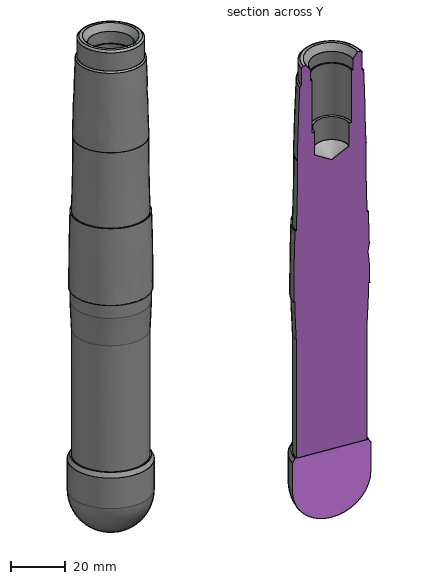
import cadquery as cq

total_height = 202.4

cap_radius = 32.0 / 2
cap_top = 30.4
cap_bevel_height = 1.8
cap_rim_radius = 30.0 / 2

shaft_radius = 29.0 / 2
shaft_top = 82.2
band_radius = 30.0 / 2
band_bottom = 93.7
grip_bottom = 99.2
grip_bottom_radius = 31.0 / 2
grip_middle_radius = 30.8 / 2
grip_top = 130.5
grip_top_radius = 30.0 / 2
waist_bottom_radius = 29.0 / 2
waist_middle_radius = 28.1 / 2
waist_top = 161.3
waist_top_radius = 28.0 / 2
taper_bottom_radius = 28.1 / 2
taper_middle_radius = 27.3 / 2
taper_top_radius = 26.1 / 2
collar_bottom = 194.0
collar_radius = 24.9 / 2
collar_bevel = 0.8
shoulder_height = 0.6
shoulder_bottom = collar_bottom - shoulder_height

mouth_radius = 20.8 / 2
mouth_depth = 2.6
socket_radius = 17.0 / 2
socket_depth = 7.5
bore_radius = 16.0 / 2
bore_depth = 30.4
pilot_radius = 14.0 / 2
pilot_depth = 40.5
pilot_point_depth = 4.0


def make_cap():
    """Solid cap with a hemispherical end and a beveled rim."""
    arc_offset = cap_radius * 0.5 ** 0.5
    return (
        cq.Workplane("XZ")
        .moveTo(0, 0)
        .threePointArc((arc_offset, cap_radius - arc_offset), (cap_radius, cap_radius))
        .lineTo(cap_radius, cap_top - cap_bevel_height)
        .lineTo(cap_rim_radius, cap_top)
        .lineTo(0, cap_top)
        .close()
        .revolve(360, (0, 0), (0, 1))
    )


def make_handle_blank():
    """Turned handle: straight shaft, band, and three gently bowed grip sections."""
    grip_middle = (grip_bottom + grip_top) / 2
    waist_middle = (grip_top + waist_top) / 2
    taper_middle = (waist_top + shoulder_bottom) / 2
    return (
        cq.Workplane("XZ")
        .moveTo(0, cap_top)
        .lineTo(shaft_radius, cap_top)
        .lineTo(shaft_radius, shaft_top)
        .lineTo(band_radius, band_bottom)
        .lineTo(band_radius, grip_bottom)
        .lineTo(grip_bottom_radius, grip_bottom)
        .threePointArc((grip_middle_radius, grip_middle), (grip_top_radius, grip_top))
        .lineTo(waist_bottom_radius, grip_top)
        .threePointArc((waist_middle_radius, waist_middle), (waist_top_radius, waist_top))
        .lineTo(taper_bottom_radius, waist_top)
        .threePointArc((taper_middle_radius, taper_middle), (taper_top_radius, shoulder_bottom))
        .lineTo(collar_radius, collar_bottom)
        .lineTo(collar_radius, total_height - collar_bevel)
        .lineTo(collar_radius - collar_bevel, total_height)
        .lineTo(0, total_height)
        .close()
        .revolve(360, (0, 0), (0, 1))
    )


def make_socket():
    """Volume of the socket: conical mouth, wide step, bore, and pilot hole with a drill point."""
    return (
        cq.Workplane("XZ")
        .moveTo(0, total_height)
        .lineTo(mouth_radius, total_height)
        .lineTo(socket_radius, total_height - mouth_depth)
        .lineTo(socket_radius, total_height - socket_depth)
        .lineTo(bore_radius, total_height - socket_depth)
        .lineTo(bore_radius, total_height - bore_depth)
        .lineTo(pilot_radius, total_height - bore_depth)
        .lineTo(pilot_radius, total_height - pilot_depth)
        .lineTo(0, total_height - pilot_depth - pilot_point_depth)
        .close()
        .revolve(360, (0, 0), (0, 1))
    )


cap = make_cap()
handle = make_handle_blank().cut(make_socket())

result = cq.Compound.makeCompound([cap.val(), handle.val()])